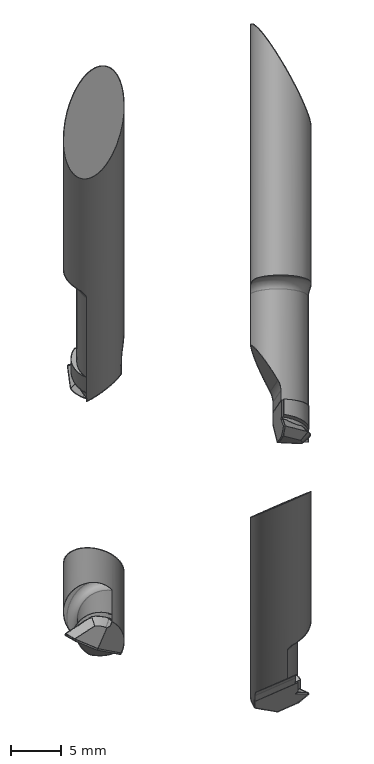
import cadquery as cq
import math

LENGTH = 42.45
SHANK_RADIUS = 6.0 / 2
BEVEL_ANGLE = 60.0
OVERSIZE = 8.5

NECK_OFFSET = 1.5
NECK_TOP = 16.17
NECK_FILLET = 1.0

HEAD_OFFSET = NECK_OFFSET / 2
HEAD_RADIUS = math.sqrt(SHANK_RADIUS**2 - HEAD_OFFSET**2)
HEAD_LEFT = HEAD_OFFSET - HEAD_RADIUS
HEAD_TOP = 3.75
HEAD_BOTTOM = 2.15
UNDERSIDE_TILT_X = 6.0
UNDERSIDE_TILT_Y = 8.2

TOOTH_EDGE_Z = 0.75
TOOTH_ROOT_X = -1.53
TOOTH_ROOT_Z = 1.83
TOOTH_BOTTOM_X = -1.83
TOOTH_CORNER_X = -1.27
TOOTH_OFFSET = 0.4
UPPER_TAPER = 45.0
LOWER_TAPER = 47.0

FACE_Y = 0.25
PLATE_THICKNESS = 0.15
PLATE_LEFT = -1.8
PLATE_SIDE_BOTTOM = 2.0
PLATE_BACK_Y = FACE_Y - PLATE_THICKNESS
SCOOP_CORNER_Z = 5.35
SCOOP_RADIUS = 2.12
END_CHAMFER_HEIGHT = 2.5


def make_shank():
    """Full-length round bar with its top cut off at a steep slant."""
    shank = cq.Workplane("XY").circle(SHANK_RADIUS).extrude(LENGTH)
    bevel_drop = 2 * SHANK_RADIUS * math.tan(math.radians(BEVEL_ANGLE))
    bevel = (
        cq.Workplane("YZ")
        .polyline([(SHANK_RADIUS, LENGTH), (-SHANK_RADIUS, LENGTH - bevel_drop), (-SHANK_RADIUS, LENGTH)])
        .close()
        .extrude(OVERSIZE, both=True)
    )
    return shank.cut(bevel)


def make_neck_cutter():
    """Ring around the offset neck axis, rounded where it meets the shoulder."""
    ring = (
        cq.Workplane("XZ")
        .moveTo(SHANK_RADIUS, 0)
        .lineTo(SHANK_RADIUS, NECK_TOP - NECK_FILLET)
        .radiusArc((SHANK_RADIUS + NECK_FILLET, NECK_TOP), NECK_FILLET)
        .lineTo(OVERSIZE, NECK_TOP)
        .lineTo(OVERSIZE, 0)
        .close()
        .revolve(360, (0, 0, 0), (0, 1, 0))
    )
    return ring.translate((NECK_OFFSET, 0, 0))


def make_head(shank):
    """Collar below the neck with a tilted underside."""
    collar = cq.Workplane("XY").center(HEAD_OFFSET, 0).circle(HEAD_RADIUS).extrude(HEAD_TOP)
    underside = (
        cq.Workplane("XY")
        .box(2 * OVERSIZE, 2 * OVERSIZE, OVERSIZE, centered=(True, True, False))
        .translate((0, 0, -OVERSIZE))
        .rotate((0, 0, 0), (1, 0, 0), UNDERSIDE_TILT_X)
        .rotate((0, 0, 0), (0, 1, 0), UNDERSIDE_TILT_Y)
        .translate((HEAD_LEFT, 0, HEAD_BOTTOM))
    )
    return collar.cut(underside).intersect(shank)


def make_half_tooth(height, taper):
    """Tapered slab rising from the edge outline: straight relieved flank, then an arc."""
    corner_y = -math.sqrt(SHANK_RADIUS**2 - (TOOTH_CORNER_X - TOOTH_OFFSET) ** 2)
    relief_run = OVERSIZE * (TOOTH_CORNER_X + SHANK_RADIUS) / (PLATE_BACK_Y - corner_y)
    return (
        cq.Workplane("XY")
        .moveTo(TOOTH_CORNER_X, corner_y)
        .radiusArc((TOOTH_OFFSET, -SHANK_RADIUS), -SHANK_RADIUS)
        .lineTo(OVERSIZE, -SHANK_RADIUS)
        .lineTo(OVERSIZE, corner_y + OVERSIZE)
        .lineTo(TOOTH_CORNER_X - relief_run, corner_y + OVERSIZE)
        .close()
        .extrude(height, taper=taper)
    )


def make_tooth(shank):
    """Tooth tapering both up and down from its cutting edge."""
    upper = make_half_tooth(TOOTH_ROOT_Z - TOOTH_EDGE_Z, UPPER_TAPER)
    lower = make_half_tooth(TOOTH_EDGE_Z, LOWER_TAPER).mirror("XY")
    return upper.union(lower).translate((0, 0, TOOTH_EDGE_Z)).intersect(shank)


def make_scoop():
    """Slope and flat that remove the +Y half of the cutting end."""
    slope_run = OVERSIZE / math.tan(math.radians(BEVEL_ANGLE))
    scoop = (
        cq.Workplane("YZ")
        .polyline([
            (FACE_Y, -OVERSIZE),
            (FACE_Y, SCOOP_CORNER_Z),
            (FACE_Y + slope_run, SCOOP_CORNER_Z + OVERSIZE),
            (FACE_Y + slope_run, -OVERSIZE),
        ])
        .close()
        .extrude(OVERSIZE, both=True)
    )
    bend = cq.selectors.NearestToPointSelector((0, FACE_Y, SCOOP_CORNER_Z))
    return scoop.edges(bend).fillet(SCOOP_RADIUS)


def make_end_chamfer():
    """45 degree wedge under the +X side of the tip."""
    return (
        cq.Workplane("XZ")
        .polyline([
            (SHANK_RADIUS - END_CHAMFER_HEIGHT, 0),
            (SHANK_RADIUS, END_CHAMFER_HEIGHT),
            (SHANK_RADIUS, 0),
        ])
        .close()
        .extrude(OVERSIZE, both=True)
    )


def make_bar():
    """Bar with neck, head and tooth, recessed for the plate."""
    shank = make_shank()
    back_side = cq.Workplane("XY").box(
        OVERSIZE, 2 * OVERSIZE, LENGTH, centered=(False, True, False)
    ).translate((HEAD_OFFSET, 0, 0))
    stem = shank.cut(make_neck_cutter())
    below_edge = cq.Workplane("XY").box(
        2 * OVERSIZE, 2 * OVERSIZE, TOOTH_EDGE_Z, centered=(True, True, False)
    ).cut(back_side)
    recess = cq.Workplane("XY").box(
        2 * OVERSIZE, OVERSIZE, HEAD_TOP, centered=(True, False, False)
    ).translate((0, PLATE_BACK_Y, 0))
    body = stem.cut(below_edge).union(make_head(shank)).union(make_tooth(shank))
    return body.cut(make_scoop()).cut(make_end_chamfer()).cut(recess)


def make_plate():
    """Thin cutting plate: narrower than the collar, with the tooth profile below."""
    plate = (
        cq.Workplane("XZ", origin=(0, FACE_Y, 0))
        .polyline([
            (PLATE_LEFT, HEAD_TOP),
            (PLATE_LEFT, PLATE_SIDE_BOTTOM),
            (TOOTH_ROOT_X, TOOTH_ROOT_Z),
            (-SHANK_RADIUS, TOOTH_EDGE_Z),
            (TOOTH_BOTTOM_X, 0),
            (SHANK_RADIUS, 0),
            (SHANK_RADIUS, HEAD_TOP),
        ])
        .close()
        .extrude(PLATE_THICKNESS)
    )
    return plate.intersect(make_shank()).cut(make_end_chamfer())


bar = make_bar()
cutting_plate = make_plate()
result = cq.Compound.makeCompound([bar.solids().val(), cutting_plate.solids().val()])